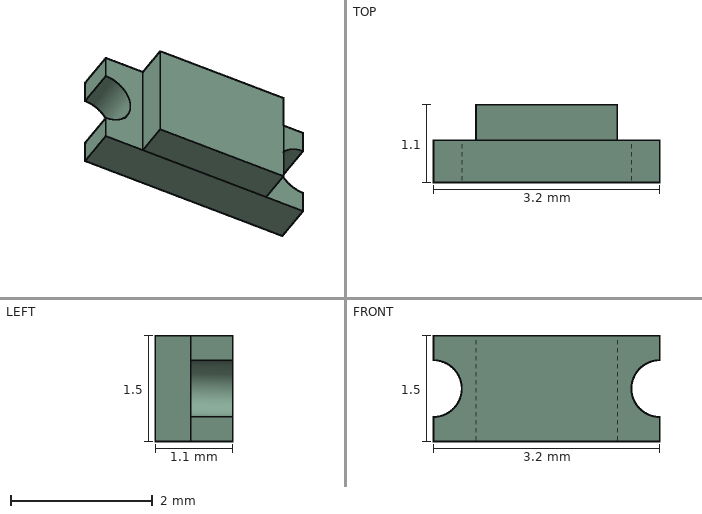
import cadquery as cq

height = 1.5
base_length = 3.2
base_thickness = 0.6
lens_length = 2.0
lens_thickness = 0.5
notch_radius = 0.4


def make_base():
    """Base board on the -Y side of the XZ plane, with a half-round notch at each end."""
    board = cq.Workplane("XZ").rect(base_length, height).extrude(base_thickness)
    notches = (
        cq.Workplane("XZ")
        .pushPoints([(-base_length / 2, 0), (base_length / 2, 0)])
        .circle(notch_radius)
        .extrude(base_thickness)
    )
    return board.cut(notches)


def make_lens():
    """Plain lens block standing on the +Y face of the base."""
    return cq.Workplane("XZ").rect(lens_length, height).extrude(-lens_thickness)


base = make_base().solids()
lens = make_lens().solids()

result = cq.Compound.makeCompound([base.val(), lens.val()])